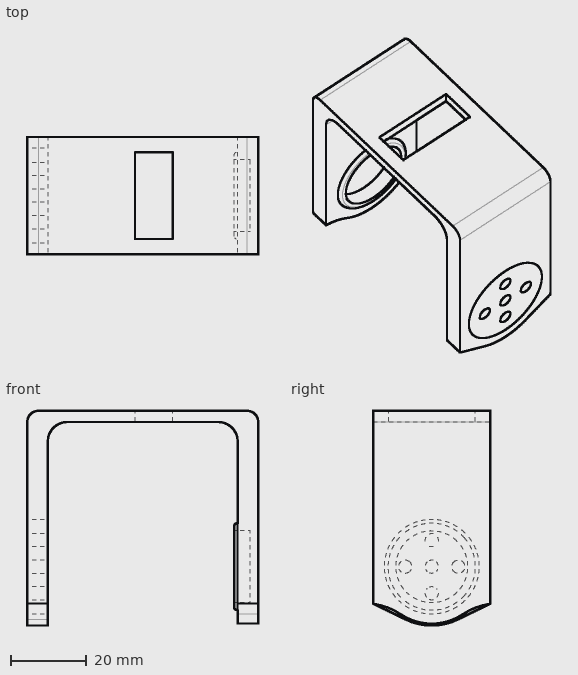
import cadquery as cq
import math

length = 61.0
width = 31.0
height = 56.7
top_thickness = 3.05
leg_thickness = 5.5
outer_radius = 3.05
inner_radius = 5.05
half_width = width / 2
inner_face_x = length / 2 - leg_thickness
leg_corner_z = -50.95
pivot_z = -41.2

window_length = 9.9
window_width = 22.8
window_x = 2.9

left_end_radius = height + pivot_z
right_end_radius = 15.0
right_blend_radius = 17.1

seat_outer_diameter = 23.0
seat_bore_diameter = 19.0
seat_height = 0.9
seat_rounding = 0.85
seat_bore_depth = 4.15

disc_diameter = 25.0
disc_hole_diameter = 3.5
disc_hole_offset = 7.0


def x_cylinder(diameter, start_x, depth, y=0, z=pivot_z):
    """Cylinder along +X that starts at start_x."""
    return (
        cq.Workplane("YZ", origin=(start_x, y, z))
        .circle(diameter / 2)
        .extrude(depth)
    )


def leg_blank(start_x):
    """Begin a leg outline at its upper edge and run down to the -Y corner."""
    return (
        cq.Workplane("YZ", origin=(start_x, 0, 0))
        .moveTo(half_width, 0)
        .lineTo(-half_width, 0)
        .lineTo(-half_width, leg_corner_z)
    )


def left_leg_envelope():
    """Leg end with straight flanks tangent to an arc about the pivot."""
    corner_drop = pivot_z - leg_corner_z
    corner_distance = math.hypot(half_width, corner_drop)
    tangent_angle = math.atan2(half_width, corner_drop) - math.acos(left_end_radius / corner_distance)
    tangent_y = left_end_radius * math.sin(tangent_angle)
    tangent_z = pivot_z - left_end_radius * math.cos(tangent_angle)
    return (
        leg_blank(-length / 2)
        .lineTo(-tangent_y, tangent_z)
        .threePointArc((0, pivot_z - left_end_radius), (tangent_y, tangent_z))
        .lineTo(half_width, leg_corner_z)
        .close()
        .extrude(length / 2)
    )


def right_leg_envelope():
    """Leg end with an arc about the pivot, joined to the corners by concave arcs."""
    corner_drop = pivot_z - leg_corner_z
    corner_distance = math.hypot(half_width, corner_drop)
    center_distance = right_end_radius + right_blend_radius
    pivot_angle = math.acos(
        (corner_distance**2 + center_distance**2 - right_blend_radius**2)
        / (2 * corner_distance * center_distance)
    )
    join_angle = math.atan2(half_width, corner_drop) - pivot_angle
    join_y = right_end_radius * math.sin(join_angle)
    join_z = pivot_z - right_end_radius * math.cos(join_angle)
    blend_center_y = center_distance * math.sin(join_angle)
    blend_center_z = pivot_z - center_distance * math.cos(join_angle)
    corner_angle = math.atan2(blend_center_y - half_width, leg_corner_z - blend_center_z)
    middle_angle = (join_angle + corner_angle) / 2
    middle_y = blend_center_y - right_blend_radius * math.sin(middle_angle)
    middle_z = blend_center_z + right_blend_radius * math.cos(middle_angle)
    return (
        leg_blank(0)
        .threePointArc((-middle_y, middle_z), (-join_y, join_z))
        .threePointArc((0, pivot_z - right_end_radius), (join_y, join_z))
        .threePointArc((middle_y, middle_z), (half_width, leg_corner_z))
        .close()
        .extrude(length / 2)
    )


def make_channel():
    """Rounded U profile, trimmed to the outlines of the leg ends."""
    outer = (
        cq.Workplane("XY")
        .box(length, width, height, centered=(True, True, False))
        .translate((0, 0, -height))
        .edges("|Y and >Z")
        .fillet(outer_radius)
    )
    inner_height = height - top_thickness
    inner = (
        cq.Workplane("XY")
        .box(2 * inner_face_x, width, inner_height, centered=(True, True, False))
        .translate((0, 0, -height))
        .edges("|Y and >Z")
        .fillet(inner_radius)
    )
    envelope = left_leg_envelope().union(right_leg_envelope())
    return outer.cut(inner).intersect(envelope)


def make_bracket():
    window = cq.Workplane("XY").center(window_x, 0).rect(window_length, window_width).extrude(-top_thickness)
    rim_x = inner_face_x - seat_height
    seat = x_cylinder(seat_outer_diameter, rim_x, seat_height).faces("<X").edges().fillet(seat_rounding)
    seat_bore = x_cylinder(seat_bore_diameter, rim_x, seat_bore_depth)
    disc_opening = x_cylinder(disc_diameter, -length / 2, leg_thickness)
    return make_channel().cut(window).union(seat).cut(seat_bore).cut(disc_opening)


def make_disc():
    """Disc with a central hole and four holes around it."""
    disc = x_cylinder(disc_diameter, -length / 2, leg_thickness)
    hole_offsets = [(0, 0)]
    for side in (-1, 1):
        hole_offsets.append((side * disc_hole_offset, 0))
        hole_offsets.append((0, side * disc_hole_offset))
    for y, z in hole_offsets:
        disc = disc.cut(x_cylinder(disc_hole_diameter, -length / 2, leg_thickness, y, pivot_z + z))
    return disc


bracket = make_bracket()
disc = make_disc()

result = cq.Compound.makeCompound([bracket.solids().val(), disc.solids().val()])